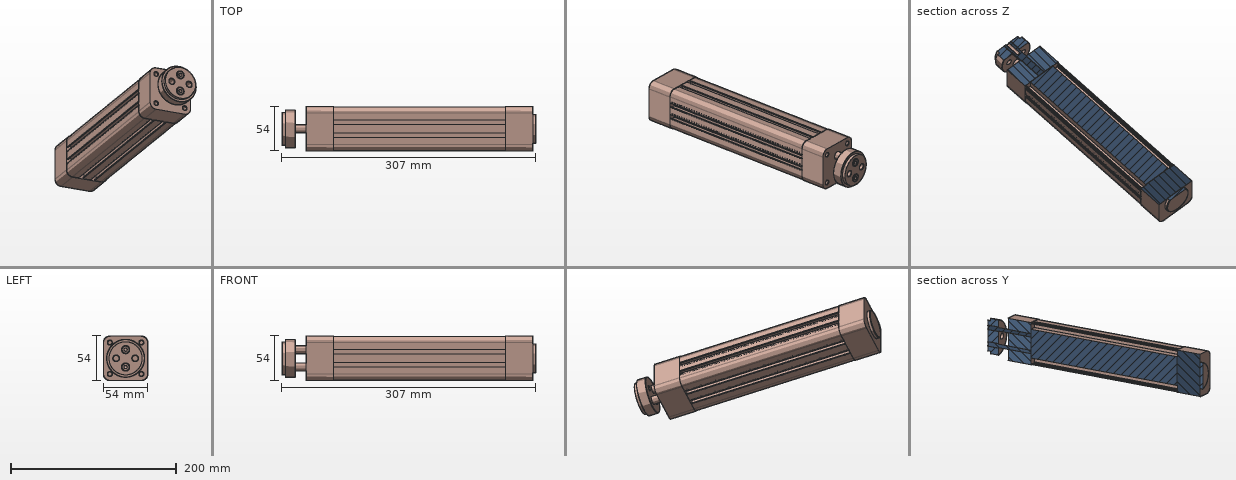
import cadquery as cq
import math

total_length = 307.0
pilot_length = 4.0
disc_length = 12.0
rod_gap = 13.0
cap_length = 33.0
boss_length = 4.0

plate_back = pilot_length + disc_length
front_cap_start = plate_back + rod_gap
profile_start = front_cap_start + cap_length
rear_cap_end = total_length - boss_length
profile_end = rear_cap_end - cap_length

cap_width = 54.0
cap_corner_radius = 8.0
profile_inset = 0.5
profile_width = cap_width - 2 * profile_inset
profile_corner_radius = cap_corner_radius - profile_inset

slot_offset = 7.85
slot_mouth_width = 5.5
slot_lip_thickness = 1.5
slot_cavity_width = 8.5
slot_depth = 8.0

corner_hole_pitch = cap_width - 2 * cap_corner_radius
corner_hole_diameter = 5.0
corner_hole_depth = 10.0
hole_chamfer = 0.6
mouth_taper_angle = 45.0

disc_diameter = 46.0
pilot_diameter = 40.0
disc_front_chamfer = 0.3
disc_back_chamfer = 0.6
mount_hole_diameter = 7.0
mount_hole_pitch = 23.0

rod_diameter = 10.0
rod_pitch = 21.0
rod_end_chamfer = 0.8
rod_centre_hole_diameter = 4.0
rod_centre_hole_depth = 20.0
drill_tip_angle = 118.0

boss_diameter = 35.0
boss_chamfer = 0.8


def plane_at(x):
    """Plane facing +X, with local x along Z and local y along -Y."""
    return cq.Workplane(cq.Plane(origin=(x, 0, 0), xDir=(0, 0, 1), normal=(1, 0, 0)))


def rounded_bar(start, end, width, corner_radius):
    """Square bar along X with rounded long edges."""
    return plane_at(start).rect(width, width).extrude(end - start).edges("|X").fillet(corner_radius)


def chamfered_hole(start, point, diameter, depth):
    """Cutter for a hole running in +X whose mouth at the start is chamfered."""
    hole = plane_at(start).center(*point).circle(diameter / 2).extrude(depth)
    mouth_radius = diameter / 2 + hole_chamfer
    mouth = plane_at(start).center(*point).circle(mouth_radius).extrude(hole_chamfer, taper=mouth_taper_angle)
    return hole.union(mouth)


rod_points = [(side * rod_pitch / 2, 0) for side in (-1, 1)]
mount_points = [(0, side * mount_hole_pitch / 2) for side in (-1, 1)]
corner_points = [
    (z_side * corner_hole_pitch / 2, y_side * corner_hole_pitch / 2)
    for z_side in (-1, 1)
    for y_side in (-1, 1)
]


def make_tool_plate():
    """Round plate with a pilot step, two mounting holes and the two rod holes."""
    pilot = plane_at(0).circle(pilot_diameter / 2).extrude(pilot_length)
    disc = plane_at(pilot_length).circle(disc_diameter / 2).extrude(disc_length)
    disc = disc.faces("<X").chamfer(disc_front_chamfer)
    disc = disc.faces(">X").chamfer(disc_back_chamfer)
    plate = pilot.union(disc)
    for point in mount_points:
        plate = plate.cut(chamfered_hole(0, point, mount_hole_diameter, plate_back))
    rod_holes = plane_at(0).pushPoints(rod_points).circle(rod_diameter / 2).extrude(plate_back)
    return plate.cut(rod_holes)


def make_rod(point):
    """Rod from the plate front to the back of the front cap, with a drilled hole in its front end."""
    rod = plane_at(0).center(*point).circle(rod_diameter / 2).extrude(profile_start)
    rod = rod.faces("<X").chamfer(rod_end_chamfer)
    hole_radius = rod_centre_hole_diameter / 2
    centre_hole = plane_at(0).center(*point).circle(hole_radius).extrude(rod_centre_hole_depth)
    tip_length = hole_radius / math.tan(math.radians(drill_tip_angle / 2))
    tip_centre = cq.Vector(rod_centre_hole_depth, -point[1], point[0])
    drill_tip = cq.Solid.makeCone(hole_radius, 0, tip_length, tip_centre, cq.Vector(1, 0, 0))
    return rod.cut(centre_hole).cut(cq.Workplane(drill_tip))


def make_front_cap():
    cap = rounded_bar(front_cap_start, profile_start, cap_width, cap_corner_radius)
    rod_holes = plane_at(front_cap_start).pushPoints(rod_points).circle(rod_diameter / 2).extrude(cap_length)
    cap = cap.cut(rod_holes)
    for point in corner_points:
        cap = cap.cut(chamfered_hole(front_cap_start, point, corner_hole_diameter, corner_hole_depth))
    return cap


def slot_box(offset, width, top, bottom):
    """Box along the whole profile, between two heights in Z."""
    length = profile_end - profile_start
    box = cq.Workplane("XY").box(length, width, top - bottom, centered=(False, True, False))
    return box.translate((profile_start, offset, bottom))


def make_profile():
    """Profile with two T-slots along each of its four sides."""
    profile = rounded_bar(profile_start, profile_end, profile_width, profile_corner_radius)
    surface = profile_width / 2
    for offset in (-slot_offset, slot_offset):
        mouth = slot_box(offset, slot_mouth_width, surface, surface - slot_depth)
        cavity = slot_box(offset, slot_cavity_width, surface - slot_lip_thickness, surface - slot_depth)
        slot = mouth.union(cavity)
        for quarter in range(4):
            profile = profile.cut(slot.rotate((0, 0, 0), (1, 0, 0), 90 * quarter))
    return profile


def make_rear_cap():
    return rounded_bar(profile_end, rear_cap_end, cap_width, cap_corner_radius)


def make_rear_boss():
    boss = plane_at(rear_cap_end).circle(boss_diameter / 2).extrude(boss_length)
    return boss.faces(">X").chamfer(boss_chamfer)


tool_plate = make_tool_plate()
rods = [make_rod(point) for point in rod_points]
front_cap = make_front_cap()
profile = make_profile()
rear_cap = make_rear_cap()
rear_boss = make_rear_boss()

result = cq.Compound.makeCompound([
    tool_plate.val(),
    *[rod.val() for rod in rods],
    front_cap.val(),
    profile.val(),
    rear_cap.val(),
    rear_boss.val(),
])